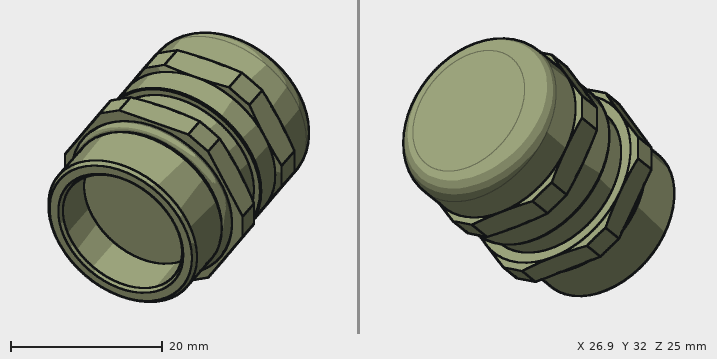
import cadquery as cq
import math


entry_top = 7.25
wrench_hex_bottom = 9.0
wrench_hex_top = 12.5
collar_bottom = 16.5
cap_hex_bottom = 20.5
cap_hex_top = 24.5
total_length = 32.0

entry_radius = 11.25
neck_radius = 11.0
cap_radius = 12.0
dome_fillet = 3.0
entry_chamfer = 0.5
collar_chamfer_width = 0.1
collar_chamfer_height = 0.2

relief_cone_length = 0.45

seal_outer_radius = 12.0
seal_section_radius = 0.85
seal_sunk_offset = 0.5

hex_sides = 6
hex_step = 360 / hex_sides
hex_half_step = hex_step / 2
wrench_hex_flats = 25.0
wrench_hex_corners = 26.87
cap_hex_flats = 24.0
cap_hex_corners = 25.66
wrench_hex_bevel_angle = 20.0
cap_hex_bevel_angle = 15.0

bore_radius = 9.0
bore_chamfer = 0.45
bore_depth = 6.25


def revolve_profile(profile):
    """Revolve a closed (radius, Y) profile drawn in the XY plane around the Y axis."""
    return profile.close().revolve(360, (0, 0, 0), (0, 1, 0))


def make_body():
    """Solid turned body: entry spigot, neck, collar and domed cap."""
    dome_side = math.sqrt(0.5) * dome_fillet
    dome_centre_radius = cap_radius - dome_fillet
    dome_base = total_length - dome_fillet
    profile = (
        cq.Workplane("XY")
        .moveTo(0, 0)
        .lineTo(entry_radius - entry_chamfer, 0)
        .lineTo(entry_radius, entry_chamfer)
        .lineTo(entry_radius, entry_top)
        .lineTo(neck_radius, entry_top + relief_cone_length)
        .lineTo(neck_radius, collar_bottom)
        .lineTo(cap_radius - collar_chamfer_width, collar_bottom)
        .lineTo(cap_radius, collar_bottom + collar_chamfer_height)
        .lineTo(cap_radius, dome_base)
        .threePointArc(
            (dome_centre_radius + dome_side, dome_base + dome_side),
            (dome_centre_radius, total_length),
        )
        .lineTo(0, total_length)
    )
    return revolve_profile(profile)


def hex_prism(across_flats, bottom, top, turn):
    """Hexagonal prism along Y; at zero turn two of its flats face +X and -X."""
    corner_radius = across_flats / math.sqrt(3)
    angles = [math.radians(turn + hex_half_step + hex_step * i) for i in range(hex_sides)]
    corners = [(corner_radius * math.cos(a), corner_radius * math.sin(a)) for a in angles]
    return (
        cq.Workplane("XZ", origin=(0, bottom, 0))
        .polyline(corners)
        .close()
        .extrude(bottom - top)
    )


def bevel_envelope(across_flats, across_corners, bottom, top, angle, both_ends):
    """Turned blank whose conical ends start at the flats and take off the hexagon corners."""
    inner_radius = across_flats / 2
    outer_radius = across_corners / math.sqrt(3)
    drop = (outer_radius - inner_radius) * math.tan(math.radians(angle))
    profile = cq.Workplane("XY").moveTo(0, bottom)
    if both_ends:
        profile = profile.lineTo(inner_radius, bottom).lineTo(outer_radius, bottom + drop)
    else:
        profile = profile.lineTo(outer_radius, bottom)
    profile = (
        profile.lineTo(outer_radius, top - drop)
        .lineTo(inner_radius, top)
        .lineTo(0, top)
    )
    return revolve_profile(profile)


def make_hexagon(across_flats, across_corners, bottom, top, angle, both_ends):
    """Hexagon with flats facing +Z and -Z, and each corner cut off flat."""
    main = hex_prism(across_flats, bottom, top, turn=hex_half_step)
    corner_cut = hex_prism(across_corners, bottom, top, turn=0)
    envelope = bevel_envelope(across_flats, across_corners, bottom, top, angle, both_ends)
    return main.intersect(corner_cut).intersect(envelope)


def make_seal_ring():
    """Round-section ring around the neck under the wrench hexagon."""
    centre_radius = seal_outer_radius - seal_section_radius
    centre_height = wrench_hex_bottom - seal_sunk_offset
    profile = cq.Workplane("XY").center(centre_radius, centre_height).circle(seal_section_radius)
    return profile.revolve(360, (-centre_radius, 0, 0), (-centre_radius, 1, 0))


def make_bore():
    """Blind hole from the entry end, chamfered at its mouth."""
    profile = (
        cq.Workplane("XY")
        .moveTo(0, 0)
        .lineTo(bore_radius + bore_chamfer, 0)
        .lineTo(bore_radius, bore_chamfer)
        .lineTo(bore_radius, bore_depth)
        .lineTo(0, bore_depth)
    )
    return revolve_profile(profile)


wrench_hexagon = make_hexagon(
    wrench_hex_flats,
    wrench_hex_corners,
    wrench_hex_bottom,
    wrench_hex_top,
    wrench_hex_bevel_angle,
    both_ends=False,
)
cap_hexagon = make_hexagon(
    cap_hex_flats,
    cap_hex_corners,
    cap_hex_bottom,
    cap_hex_top,
    cap_hex_bevel_angle,
    both_ends=True,
)

result = (
    make_body()
    .union(wrench_hexagon)
    .union(cap_hexagon)
    .union(make_seal_ring())
    .cut(make_bore())
)